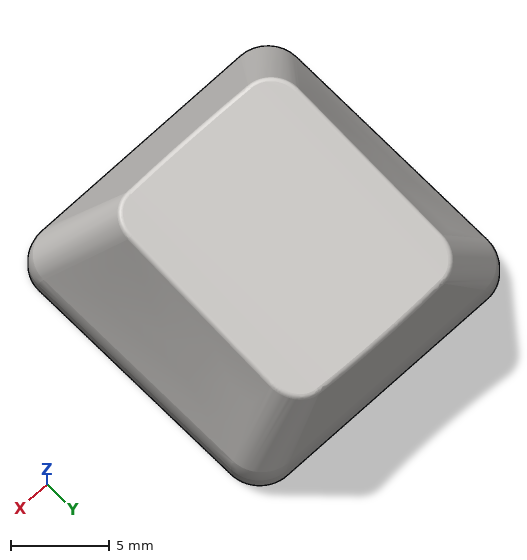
import cadquery as cq
import math

base_side = 18.16
base_corner_radius = 2.02
shoulder_height = 1.02
shoulder_blend_rise = 0.36

side_slope = 0.5
front_slope = 0.55
back_slope = 0.09

dish_radius = 32.69
dish_tilt = 7.1
dish_front_y = -5.63
dish_front_height = 7.21
dish_length = 54.48
top_edge_radius = 0.27

rim_clearance = 0.73
rim_width = 11.73
rim_corner_radius = 1.82

dish_pick_half_size = 3.63
dish_pick_bottom = 4.54
dish_pick_top = 8.17


def rounded_outline(width, depth, radius, center, tilt=0):
    """Rounded rectangle facing +Z, tipped down towards the back by tilt degrees."""
    face = cq.Face.makePlane(depth, width)
    outline = face.fillet2D(radius, face.Vertices()).outerWire()
    tipped = outline.rotate(cq.Vector(0, 0, 0), cq.Vector(1, 0, 0), -tilt)
    return tipped.translate(center)


def wall_ring(height, rise=0):
    """Level outline, drawn in from the base by the wall slopes over a rise."""
    width = base_side - 2 * side_slope * rise
    depth = base_side - (front_slope + back_slope) * rise
    center = cq.Vector(0, (front_slope - back_slope) * rise / 2, height)
    return rounded_outline(width, depth, base_corner_radius, center)


def rim_height(y):
    """Height of the rim plane at a given y."""
    fall = math.tan(math.radians(dish_tilt))
    return dish_front_height + rim_clearance - fall * (y - dish_front_y)


def wall_rim_y(foot_y, inward_slope):
    """Where a wall rising from foot_y meets the rim plane; the slope is signed along +Y."""
    fall = math.tan(math.radians(dish_tilt))
    rise = (rim_height(foot_y) - shoulder_height) / (1 + fall * inward_slope)
    return foot_y + inward_slope * rise


def make_rim():
    """Tilted outline at the top of the untrimmed walls."""
    front_y = wall_rim_y(-base_side / 2, front_slope)
    back_y = wall_rim_y(base_side / 2, -back_slope)
    center_y = (front_y + back_y) / 2
    depth = (back_y - front_y) / math.cos(math.radians(dish_tilt))
    center = cq.Vector(0, center_y, rim_height(center_y))
    return rounded_outline(rim_width, depth, rim_corner_radius, center, dish_tilt)


def make_blank():
    """Skirt, rounded shoulder and sloping walls, taller than the finished cap."""
    foot = wall_ring(0)
    blend_start = wall_ring(shoulder_height - shoulder_blend_rise)
    blend_middle = wall_ring(shoulder_height, shoulder_blend_rise / 4)
    blend_end = wall_ring(shoulder_height + shoulder_blend_rise, shoulder_blend_rise)

    skirt = cq.Solid.makeLoft([foot, blend_start], True)
    shoulder = cq.Solid.makeLoft([blend_start, blend_middle, blend_end])
    walls = cq.Solid.makeLoft([blend_end, make_rim()], True)
    return cq.Workplane(skirt).union(cq.Workplane(shoulder)).union(cq.Workplane(walls))


def make_dish_cutter():
    """Tilted cylinder that hollows the top."""
    tilt = math.radians(dish_tilt)
    direction = cq.Vector(0, math.cos(tilt), -math.sin(tilt))
    upward = cq.Vector(0, math.sin(tilt), math.cos(tilt))
    bottom_point = cq.Vector(0, dish_front_y, dish_front_height)
    start = bottom_point + upward * dish_radius - direction * (dish_length / 2)
    return cq.Workplane(cq.Solid.makeCylinder(dish_radius, dish_length, start, direction))


def round_top_edge(cap):
    """Round the whole border of the dish."""
    dish_face = cq.selectors.BoxSelector(
        (-dish_pick_half_size, -dish_pick_half_size, dish_pick_bottom),
        (dish_pick_half_size, dish_pick_half_size, dish_pick_top),
    )
    return cap.faces(dish_face).edges().fillet(top_edge_radius)


result = round_top_edge(make_blank().cut(make_dish_cutter()))